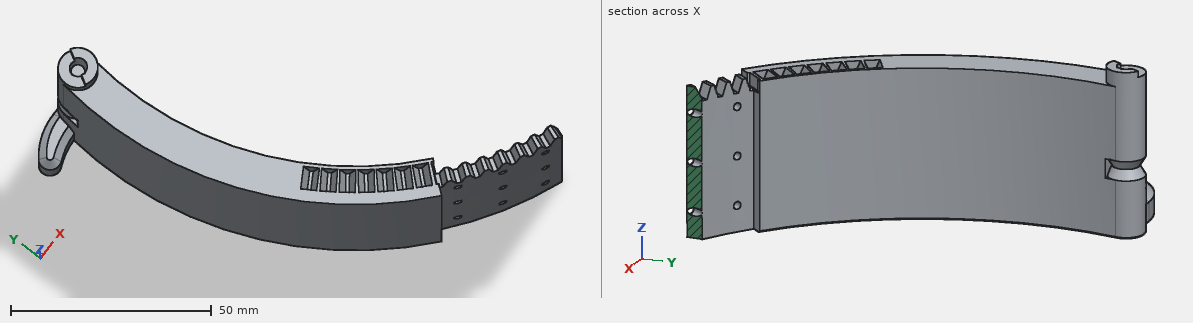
import cadquery as cq
import math


mid_radius = 95.0
body_thickness = 10.0
body_height = 40.0
hinge_angle = 171.0
body_end_angle = 230.0
foot_chamfer = 0.4

strip_inner_radius = 93.2
strip_outer_radius = 96.8
strip_end_angle = 250.0
strip_end_chamfer = 0.5
strip_overlap_angle = 0.2
cut_margin = 1.1
corner_margin_angle = 1.0

tooth_count = 7
tooth_pitch_angle = (strip_end_angle - body_end_angle) / tooth_count
groove_depth = 3.4
gap_top_width = 3.7
gap_floor_width = 1.2
socket_top_width = 4.0
socket_floor_width = 0.9
first_gap_angle = 230.2
first_socket_angle = 210.7
socket_inner_radius = 90.9
notch_angle = 0.4

pin_hole_diameter = 2.0
pin_hole_angles = (232.9, 239.9, 246.9)
pin_hole_spacing = 13.0

hinge_diameter = 10.0
hinge_height = 44.0
half_step = 1.5
step_line_angle = 60.0
pivot_top_diameter = 4.6
pivot_floor_diameter = 3.4
pivot_depth = 4.0

neck_bottom = 15.4
neck_height = 5.1
neck_radius = 3.4
neck_clear_radius = 7.5
neck_end = 3.7
recess_end = 4.3

lever_height = 9.1
lever_chamfer = 2.0
lever_tip_radius = 2.9
lever_tip_angle = 130.0
lever_crown_x = -4.6
lever_outer_crown = 4.1
lever_inner_crown = -3.1
lever_outer_bend = 18.0

body_outer_radius = mid_radius + body_thickness / 2
body_inner_radius = mid_radius - body_thickness / 2
hinge_radius = hinge_diameter / 2


def offset_point(centre, distance, angle):
    dx, dy = polar(distance, angle)
    return centre[0] + dx, centre[1] + dy


def polar(radius, angle):
    turn = math.radians(angle)
    return radius * math.cos(turn), radius * math.sin(turn)


def arc_wall(inner, outer, start, end, height):
    middle = (start + end) / 2
    return (
        cq.Workplane("XY")
        .moveTo(*polar(outer, start))
        .threePointArc(polar(outer, middle), polar(outer, end))
        .lineTo(*polar(inner, end))
        .threePointArc(polar(inner, middle), polar(inner, start))
        .close()
        .extrude(height)
    )


def radial_plane(radius, angle, height):
    """Plane facing outwards along a radius, with its local Y pointing up."""
    x, y = polar(radius, angle)
    across = (-math.sin(math.radians(angle)), math.cos(math.radians(angle)), 0)
    outward = (*polar(1, angle), 0)
    return cq.Workplane(cq.Plane((x, y, height), xDir=across, normal=outward))


def tapered_groove(inner, outer, angle, top_width, floor_width):
    """Radial groove, narrow at its floor, open at the top of the body."""
    return (
        radial_plane(inner, angle, body_height)
        .moveTo(-top_width / 2, 0)
        .lineTo(top_width / 2, 0)
        .lineTo(floor_width / 2, -groove_depth)
        .lineTo(-floor_width / 2, -groove_depth)
        .close()
        .extrude(outer - inner)
    )


def make_strip():
    """Strip with gaps cut between its teeth and a grid of radial through holes."""
    cut_start = strip_inner_radius - cut_margin
    cut_end = strip_outer_radius + cut_margin
    start = body_end_angle - strip_overlap_angle
    strip = arc_wall(strip_inner_radius, strip_outer_radius, start, strip_end_angle, body_height)
    end_corners = cq.selectors.BoxSelector(
        (*polar(cut_start, strip_end_angle + corner_margin_angle), 0),
        (*polar(cut_end, strip_end_angle - corner_margin_angle), body_height),
    )
    strip = strip.edges("|Z").edges(end_corners).chamfer(strip_end_chamfer)
    for i in range(tooth_count + 1):
        angle = first_gap_angle + i * tooth_pitch_angle
        gap = tapered_groove(cut_start, cut_end, angle, gap_top_width, gap_floor_width)
        strip = strip.cut(gap)
    for angle in pin_hole_angles:
        for row in (-1, 0, 1):
            height = body_height / 2 + row * pin_hole_spacing
            hole = radial_plane(cut_start, angle, height).circle(pin_hole_diameter / 2)
            strip = strip.cut(hole.extrude(cut_end - cut_start))
    return strip


def make_lever():
    """Hooked lever; both bends crown at the same X and the round tip is tangent to them."""
    outer_centre_y = lever_outer_crown - lever_outer_bend
    tip_reach = lever_outer_bend - lever_tip_radius
    tip_x, tip_y = offset_point((lever_crown_x, outer_centre_y), tip_reach, lever_tip_angle)

    run = lever_crown_x - tip_x
    rise = tip_y - lever_inner_crown
    inner_bend = (run**2 + rise**2 - lever_tip_radius**2) / (2 * (lever_tip_radius - rise))
    inner_centre = (lever_crown_x, lever_inner_crown - inner_bend)
    inner_angle = math.degrees(math.atan2(tip_y - inner_centre[1], -run))
    outer_centre = (lever_crown_x, outer_centre_y)

    return (
        cq.Workplane("XY")
        .moveTo(0, lever_outer_crown)
        .lineTo(lever_crown_x, lever_outer_crown)
        .threePointArc(
            offset_point(outer_centre, lever_outer_bend, (90 + lever_tip_angle) / 2),
            offset_point(outer_centre, lever_outer_bend, lever_tip_angle),
        )
        .threePointArc(
            offset_point((tip_x, tip_y), lever_tip_radius, (lever_tip_angle + inner_angle + 180) / 2),
            offset_point(inner_centre, inner_bend, inner_angle),
        )
        .threePointArc(
            offset_point(inner_centre, inner_bend, (90 + inner_angle) / 2),
            (lever_crown_x, lever_inner_crown),
        )
        .lineTo(0, lever_inner_crown)
        .close()
        .extrude(lever_height)
        .faces("<Z or >Z")
        .edges()
        .chamfer(lever_chamfer)
    )


def make_neck_cutter():
    """V-sided ring on the free side of the post, with a shallow recess into the outer wall."""
    middle = neck_bottom + neck_height / 2
    top = neck_bottom + neck_height
    ring = (
        cq.Workplane("XZ")
        .moveTo(neck_radius, middle)
        .lineTo(hinge_radius, top)
        .lineTo(neck_clear_radius, top)
        .lineTo(neck_clear_radius, neck_bottom)
        .lineTo(hinge_radius, neck_bottom)
        .close()
        .revolve(360, (0, 0, 0), (0, 1, 0))
    )
    free_side = (
        cq.Workplane("XY")
        .center(0, neck_clear_radius - neck_end)
        .rect(2 * neck_clear_radius, 2 * neck_clear_radius)
        .extrude(hinge_height)
    )
    recess = (
        cq.Workplane("XY", origin=(0, 0, neck_bottom))
        .moveTo(-neck_clear_radius, 0)
        .lineTo(-hinge_radius, 0)
        .lineTo(-hinge_radius, -recess_end)
        .lineTo(-neck_clear_radius, -recess_end)
        .close()
        .extrude(neck_height)
    )
    return ring.intersect(free_side).union(recess)


def make_post():
    return cq.Workplane("XY").circle(hinge_radius).extrude(hinge_height)


def make_lowered_half():
    """Block that takes half of the post top down by one step."""
    return (
        cq.Workplane("XY", origin=(0, 0, hinge_height - half_step))
        .center(0, hinge_radius)
        .rect(2 * hinge_diameter, hinge_diameter)
        .extrude(half_step)
        .rotate((0, 0, 0), (0, 0, 1), step_line_angle)
    )


def make_pivot_hole():
    return (
        cq.Workplane("XY", origin=(0, 0, hinge_height - pivot_depth))
        .circle(pivot_floor_diameter / 2)
        .workplane(offset=pivot_depth)
        .circle(pivot_top_diameter / 2)
        .loft()
    )


def cut_sockets(body):
    """Row of tooth sockets in the top of the body, ending in a part socket open at the end face."""
    for i in range(tooth_count):
        angle = first_socket_angle + i * tooth_pitch_angle
        socket = tapered_groove(
            socket_inner_radius, strip_outer_radius, angle, socket_top_width, socket_floor_width
        )
        body = body.cut(socket)
    end_notch = arc_wall(
        socket_inner_radius,
        strip_outer_radius,
        body_end_angle - notch_angle,
        body_end_angle + notch_angle,
        groove_depth,
    )
    return body.cut(end_notch.translate((0, 0, body_height - groove_depth)))


hinge_place = (*polar(mid_radius, hinge_angle), 0)

body = (
    arc_wall(body_inner_radius, body_outer_radius, hinge_angle, body_end_angle, body_height)
    .union(make_post().translate(hinge_place))
    .faces("<Z")
    .edges("%CIRCLE")
    .chamfer(foot_chamfer)
)

result = (
    cut_sockets(body)
    .cut(make_neck_cutter().translate(hinge_place))
    .union(make_lever().translate(hinge_place))
    .cut(make_lowered_half().translate(hinge_place))
    .cut(make_pivot_hole().translate(hinge_place))
    .union(make_strip())
)